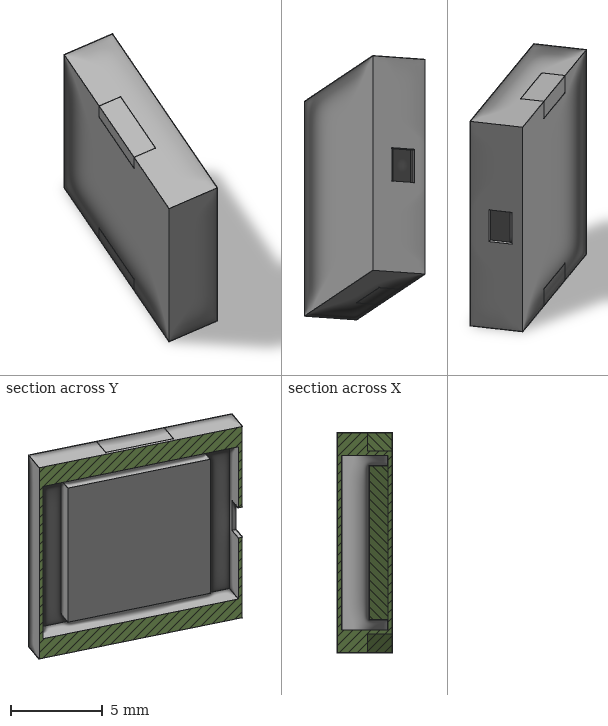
import cadquery as cq

side = 12.0
thickness = 3.0
front_y = -thickness / 2
wall = 0.25

terminal_width = 4.0
terminal_depth = 1.33
terminal_height = 1.0

window_front = 0.61
window_width = 1.3
window_height = 1.86

cavity_width = side - 2 * wall
cavity_depth = thickness - 2 * wall
cavity_height = side - 2 * (terminal_height + wall)

core_side = 8.4
core_depth = window_front + window_width / 2 - wall


def make_terminal(end):
    """Terminal block at the top (end = 1) or bottom (end = -1)."""
    center_y = front_y + terminal_depth / 2
    center_z = end * (side - terminal_height) / 2
    return (
        cq.Workplane("XY")
        .box(terminal_width, terminal_depth, terminal_height)
        .translate((0, center_y, center_z))
    )


def make_housing(terminals):
    """Closed shell with a window on -X and a recess for each terminal."""
    cavity = cq.Workplane("XY").box(cavity_width, cavity_depth, cavity_height)
    window_y = front_y + window_front + window_width / 2
    window = (
        cq.Workplane("XY")
        .box(2 * wall, window_width, window_height)
        .translate((-side / 2, window_y, 0))
    )
    housing = cq.Workplane("XY").box(side, thickness, side).cut(cavity).cut(window)
    for terminal in terminals:
        housing = housing.cut(terminal)
    return housing


def make_core():
    """Square core standing on the inside of the front wall."""
    center_y = front_y + wall + core_depth / 2
    return (
        cq.Workplane("XY")
        .box(core_side, core_depth, core_side)
        .translate((0, center_y, 0))
    )


terminals = [make_terminal(end) for end in (-1, 1)]
housing = make_housing(terminals)
core = make_core()

result = cq.Compound.makeCompound(
    [housing.val(), core.val(), *[terminal.val() for terminal in terminals]]
)